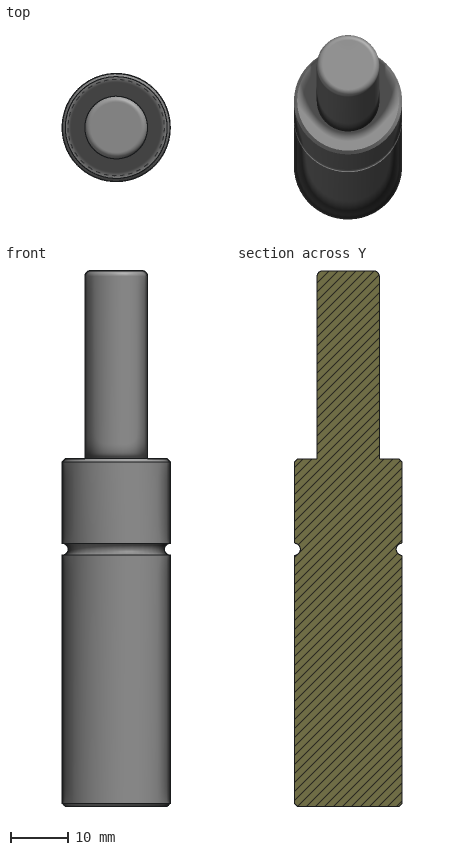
import cadquery as cq

total_length = 94.0
body_diameter = 19.0
body_length = 61.0
body_chamfer = 0.6
pin_diameter = 11.0
pin_tip_fillet = 1.0
groove_radius = 1.0
groove_height = 45.1

body_radius = body_diameter / 2
pin_length = total_length - body_length


def make_body():
    """Cylindrical body, chamfered at both ends, standing on Z = 0."""
    body = cq.Workplane("XY").circle(body_radius).extrude(body_length)
    return body.faces("<Z or >Z").edges().chamfer(body_chamfer)


def make_pin():
    """Slim pin on top of the body with a rounded tip."""
    pin = cq.Workplane("XY").workplane(offset=body_length).circle(pin_diameter / 2).extrude(pin_length)
    return pin.faces(">Z").edges().fillet(pin_tip_fillet)


def make_groove_ring():
    """Ring whose round section, centred on the body surface, cuts a half-round groove."""
    section = cq.Workplane("XZ").center(body_radius, groove_height).circle(groove_radius)
    return section.revolve(360, (-body_radius, 0), (-body_radius, 1))


result = make_body().union(make_pin()).cut(make_groove_ring())